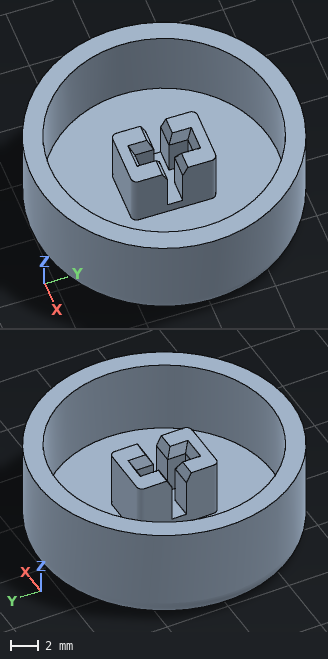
import cadquery as cq

outer_diameter = 20.64
wall_thickness = 1.5
cup_height = 8.0
floor_thickness = 2.0
bottom_fillet = 1.5
inner_diameter = outer_diameter - 2 * wall_thickness

stem_length_x = 4.7
stem_length_y = 6.55
stem_corner_radius = 0.45
stem_top_z = 6.6

slot_width = 1.17
long_arm_length = 4.1
socket_depth = 3.8
lead_in_width = 0.4
lead_in_depth = 0.8


def make_cup():
    """Round cup, open at the top, with a rounded lower outer edge."""
    body = cq.Workplane("XY").circle(outer_diameter / 2).extrude(cup_height)
    body = body.faces("<Z").edges().fillet(bottom_fillet)
    cavity = (
        cq.Workplane("XY")
        .workplane(offset=floor_thickness)
        .circle(inner_diameter / 2)
        .extrude(cup_height - floor_thickness)
    )
    return body.cut(cavity)


def make_stem():
    """Rectangular post with rounded vertical edges, rising from the cup floor."""
    return (
        cq.Workplane("XY")
        .workplane(offset=floor_thickness)
        .rect(stem_length_x, stem_length_y)
        .extrude(stem_top_z - floor_thickness)
        .edges("|Z")
        .fillet(stem_corner_radius)
    )


def make_socket_arm(length_x, length_y):
    """Cutter for one arm of the cross: a straight slot that flares out at the stem top."""
    straight_slot = (
        cq.Workplane("XY")
        .workplane(offset=stem_top_z - socket_depth)
        .rect(length_x, length_y)
        .extrude(socket_depth)
    )
    lead_in = (
        cq.Workplane("XY")
        .workplane(offset=stem_top_z - lead_in_depth)
        .rect(length_x, length_y)
        .workplane(offset=lead_in_depth)
        .rect(length_x + 2 * lead_in_width, length_y + 2 * lead_in_width)
        .loft(ruled=True)
    )
    return straight_slot.union(lead_in)


def make_socket():
    """Cross cutter: one arm closed at both ends, the other open through the stem sides."""
    closed_arm = make_socket_arm(slot_width, long_arm_length)
    open_arm = make_socket_arm(stem_length_x, slot_width)
    return closed_arm.union(open_arm)


stem = make_stem().cut(make_socket())
result = make_cup().union(stem)